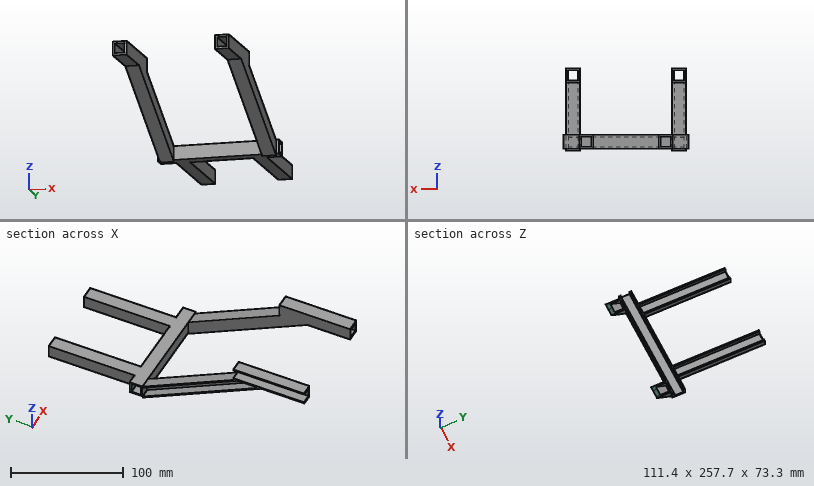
import cadquery as cq
import math

TUBE = 12.7
WALL = 2.0
BORE = TUBE - 2 * WALL

FRAME_LENGTH = 257.7
FRAME_HEIGHT = 73.28
CROSSBAR_LENGTH = 111.4

FRONT_SPACING = 94.0
REAR_SPACING = 70.7
REAR_LENGTH = 85.0
ARM_LENGTH = 70.0

HALF_TUBE = TUBE / 2
STRUT_RUN = FRAME_LENGTH - REAR_LENGTH - TUBE - ARM_LENGTH
STRUT_START_Y = -HALF_TUBE
ARM_REAR_Y = STRUT_START_Y - STRUT_RUN
ARM_FRONT_Y = ARM_REAR_Y - ARM_LENGTH

CLIMB = FRAME_HEIGHT - TUBE
SLOPE = math.acos(TUBE / math.hypot(CLIMB, STRUT_RUN)) - math.atan2(STRUT_RUN, CLIMB)
STRUT_RISE = STRUT_RUN * math.tan(SLOPE)
ARM_BOTTOM_Z = HALF_TUBE + STRUT_RISE
ARM_CENTRE_Z = ARM_BOTTOM_Z + HALF_TUBE


def bar_along_x(size):
    return cq.Workplane("XY").box(CROSSBAR_LENGTH, size, size)


def bar_along_y(size, x, y_start, length, z):
    """Square bar of the given size, from y_start toward +Y, centred on x and z."""
    return (
        cq.Workplane("XY")
        .box(size, length, size, centered=(True, False, True))
        .translate((x, y_start, z))
    )


def strut(size, x):
    """Sloping bar, cut upright at the crossbar and level at the arm's underside."""
    inset = (TUBE - size) / 2
    top_z = HALF_TUBE - inset / math.cos(SLOPE)
    bottom_z = top_z - size / math.cos(SLOPE)

    def y_at_arm(start_z):
        return STRUT_START_Y - (ARM_BOTTOM_Z - start_z) / math.tan(SLOPE)

    return (
        cq.Workplane("YZ", origin=(x - size / 2, 0, 0))
        .moveTo(STRUT_START_Y, bottom_z)
        .lineTo(STRUT_START_Y, top_z)
        .lineTo(y_at_arm(top_z), ARM_BOTTOM_Z)
        .lineTo(y_at_arm(bottom_z), ARM_BOTTOM_Z)
        .close()
        .extrude(size)
    )


def frame(size):
    """All members joined, with square sections of the given size."""
    members = bar_along_x(size)
    for side in (-1, 1):
        front_x = side * FRONT_SPACING / 2
        rear_x = side * REAR_SPACING / 2
        members = members.union(bar_along_y(size, rear_x, HALF_TUBE, REAR_LENGTH, 0))
        members = members.union(strut(size, front_x))
        members = members.union(bar_along_y(size, front_x, ARM_FRONT_Y, ARM_LENGTH, ARM_CENTRE_Z))
    return members


result = frame(TUBE).cut(frame(BORE)).solids()